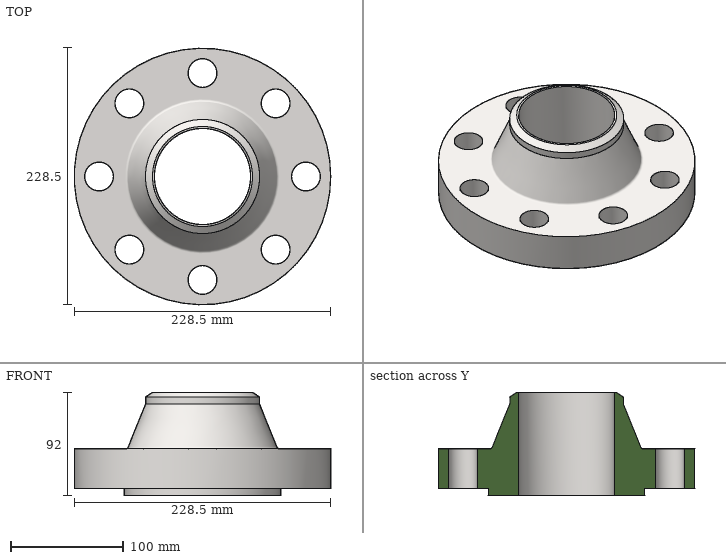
import cadquery as cq
import math

flange_diameter = 228.5
total_height = 92.0

raised_face_diameter = 139.6
raised_face_height = 6.5
flange_thickness = 35.5
flange_top = raised_face_height + flange_thickness

hub_base_diameter = 134.0
hub_fillet_radius = 2.5
neck_diameter = 101.7
bore_diameter = 85.5
bevel_land = 1.8
bevel_height = 4.0
straight_length = 6.5
bevel_start = total_height - bevel_height
hub_top = bevel_start - straight_length

bolt_circle_diameter = 184.2
bolt_hole_diameter = 25.4
bolt_hole_count = 8


def flange_body():
    """Revolve the half section of the flange, bored through along Z."""
    flange_radius = flange_diameter / 2
    face_radius = raised_face_diameter / 2
    hub_base_radius = hub_base_diameter / 2
    neck_radius = neck_diameter / 2
    bore_radius = bore_diameter / 2

    taper_angle = math.atan2(hub_top - flange_top, hub_base_radius - neck_radius)
    tangent_length = hub_fillet_radius * math.tan(taper_angle / 2)
    fillet_start = (hub_base_radius + tangent_length, flange_top)
    fillet_end = (
        hub_base_radius - tangent_length * math.cos(taper_angle),
        flange_top + tangent_length * math.sin(taper_angle),
    )
    half_turn = taper_angle / 2
    fillet_middle = (
        fillet_start[0] - hub_fillet_radius * math.sin(half_turn),
        flange_top + hub_fillet_radius * (1 - math.cos(half_turn)),
    )

    return (
        cq.Workplane("XZ")
        .moveTo(bore_radius, 0)
        .lineTo(face_radius, 0)
        .lineTo(face_radius, raised_face_height)
        .lineTo(flange_radius, raised_face_height)
        .lineTo(flange_radius, flange_top)
        .lineTo(*fillet_start)
        .threePointArc(fillet_middle, fillet_end)
        .lineTo(neck_radius, hub_top)
        .lineTo(neck_radius, bevel_start)
        .lineTo(bore_radius + bevel_land, total_height)
        .lineTo(bore_radius, total_height)
        .close()
        .revolve(360, (0, 0, 0), (0, 1, 0))
    )


def bolt_holes():
    """Cutters for the evenly spaced bolt holes, the first one on +X."""
    return (
        cq.Workplane("XY")
        .polarArray(bolt_circle_diameter / 2, 0, 360, bolt_hole_count)
        .circle(bolt_hole_diameter / 2)
        .extrude(flange_top)
    )


result = flange_body().cut(bolt_holes())